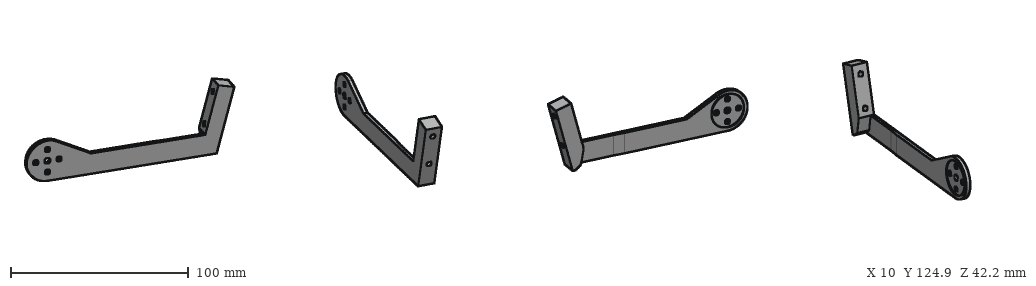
import cadquery as cq
import math


disc_radius = 12.5
recess_radius = 10.2
recess_depth = 0.5
center_hole_diameter = 3.5
ring_hole_diameter = 3.0
ring_radius = 7.0

thick = 2.6
thin = 2.2
arm_height = 12.7
knee_y = 26.2
slope_top_y = 5.0
ramp_start_y = 65.2
ramp_end_y = 71.9

overall_length = 124.9
overall_height = 42.2
block_size = 10.0
lean = math.radians(15)
inner_edge_y = 96.5
inner_edge_z = 2.9
foot_front_y = 100.1
mount_hole_diameter = 3.0
mount_hole_heights = (17.2, 36.5)

back_top_y = overall_length - disc_radius
back_top_z = overall_height - block_size * math.sin(lean)
front_top_y = back_top_y - block_size * math.cos(lean)
foot_back_y = back_top_y - back_top_z * math.tan(lean)


def front_face_y(z):
    """Y position of the leaning front face at height z."""
    return front_top_y - (overall_height - z) * math.tan(lean)


def make_arm():
    slope_top_z = disc_radius + math.sqrt(disc_radius**2 - slope_top_y**2)
    outline = (
        cq.Workplane("YZ")
        .moveTo(0, 0)
        .lineTo(foot_back_y, 0)
        .lineTo(front_face_y(arm_height), arm_height)
        .lineTo(knee_y, arm_height)
        .lineTo(slope_top_y, slope_top_z)
        .threePointArc((-disc_radius, disc_radius), (0, 0))
        .close()
        .extrude(-thick)
    )
    plan = (
        cq.Workplane("XY")
        .moveTo(0, -disc_radius)
        .lineTo(-thick, -disc_radius)
        .lineTo(-thick, ramp_start_y)
        .lineTo(-thin, ramp_end_y)
        .lineTo(-thin, back_top_y)
        .lineTo(0, back_top_y)
        .close()
        .extrude(overall_height)
    )
    return outline.intersect(plan)


def cut_disc(body):
    face = cq.Workplane("YZ", origin=(-thick, 0, disc_radius))
    recess = face.circle(recess_radius).extrude(recess_depth)
    center_hole = face.circle(center_hole_diameter / 2).extrude(thick)
    ring_holes = (
        face.polarArray(ring_radius, 0, 360, 4)
        .circle(ring_hole_diameter / 2)
        .extrude(thick)
    )
    return body.cut(recess).cut(center_hole).cut(ring_holes)


def make_block():
    block = (
        cq.Workplane("YZ")
        .polyline([
            (foot_back_y, 0),
            (back_top_y, back_top_z),
            (front_top_y, overall_height),
            (front_face_y(arm_height), arm_height),
            (inner_edge_y, inner_edge_z),
            (foot_front_y, 0),
        ])
        .close()
        .extrude(-block_size)
    )
    drill_direction = cq.Vector(0, math.cos(lean), -math.sin(lean))
    for z in mount_hole_heights:
        start = cq.Vector(-block_size / 2, front_face_y(z), z)
        hole = cq.Solid.makeCylinder(mount_hole_diameter / 2, block_size, start, drill_direction)
        block = block.cut(cq.Workplane(obj=hole))
    return block


result = cut_disc(make_arm()).union(make_block())